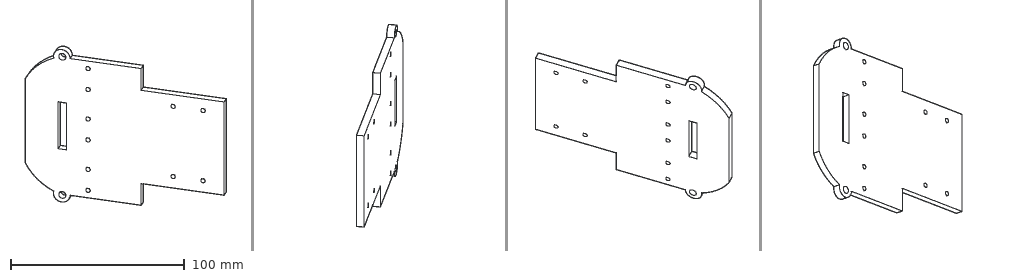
import cadquery as cq

length = 120.0
thickness = 4.5
height_over_ears = 98.0
ear_radius = 5.0
ear_x = 22.1
body_half_height = height_over_ears / 2 - ear_radius
body_end_x = 70.0
tail_half_height = 30.0

nose_half_height = 27.0
nose_arc_mid = (8.5, 37.5)
nose_arc_end = (17.2, 42.7)

ear_hole_diameter = 4.2
ear_hole_x = 22.5
ear_hole_z = 44.4
slot_width = 5.0
slot_height = 30.0
slot_x = 22.5
small_hole_diameter = 2.5
row_x = 37.9
row_pair_pitch = 32.4
row_pair_spacing = 13.5
tail_hole_x = (89.3, 107.3)
tail_hole_z = 22.5


def sketch_plane():
    """XZ plane on the +Y face of the plate."""
    return cq.Workplane("XZ", origin=(0, thickness / 2, 0))


def extrude_plate(outline):
    return outline.extrude(thickness)


def make_body():
    arc_mid_x, arc_mid_z = nose_arc_mid
    arc_end_x, arc_end_z = nose_arc_end
    outline = (
        sketch_plane()
        .moveTo(0, -nose_half_height)
        .lineTo(0, nose_half_height)
        .threePointArc(nose_arc_mid, nose_arc_end)
        .lineTo(ear_x, body_half_height)
        .lineTo(body_end_x, body_half_height)
        .lineTo(body_end_x, tail_half_height)
        .lineTo(length, tail_half_height)
        .lineTo(length, -tail_half_height)
        .lineTo(body_end_x, -tail_half_height)
        .lineTo(body_end_x, -body_half_height)
        .lineTo(ear_x, -body_half_height)
        .lineTo(arc_end_x, -arc_end_z)
        .threePointArc((arc_mid_x, -arc_mid_z), (0, -nose_half_height))
        .close()
    )
    return extrude_plate(outline)


def make_discs(points, diameter):
    return extrude_plate(sketch_plane().pushPoints(points).circle(diameter / 2))


ear_points = [(ear_x, side * body_half_height) for side in (-1, 1)]
ear_hole_points = [(ear_hole_x, side * ear_hole_z) for side in (-1, 1)]

row_points = [
    (row_x, pair * row_pair_pitch + side * row_pair_spacing / 2)
    for pair in (-1, 0, 1)
    for side in (-1, 1)
]
tail_points = [(x, side * tail_hole_z) for x in tail_hole_x for side in (-1, 1)]

slot = extrude_plate(sketch_plane().center(slot_x, 0).rect(slot_width, slot_height))

result = (
    make_body()
    .union(make_discs(ear_points, 2 * ear_radius))
    .cut(make_discs(ear_hole_points, ear_hole_diameter))
    .cut(make_discs(row_points + tail_points, small_hole_diameter))
    .cut(slot)
)